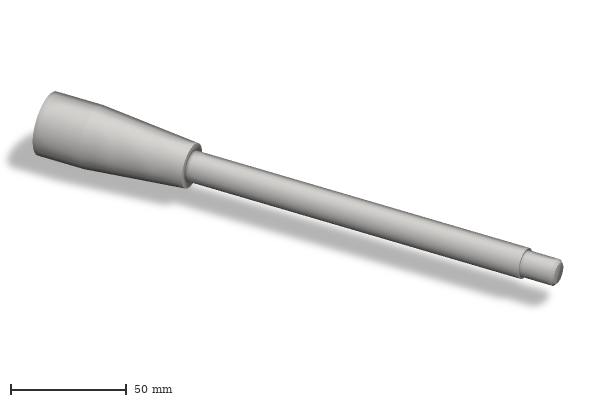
import cadquery as cq
import math

overall_length = 247.0
knob_length = 71.0
knob_straight_end = 23.7
stud_length = 16.0
stud_chamfer = 1.2

knob_diameter = 29.0
knob_neck_diameter = 20.5
rod_diameter = 14.0
stud_diameter = 12.0

dome_height = 1.5

knob_tip_x = -overall_length / 2
dome_rim_x = knob_tip_x + dome_height
taper_start_x = knob_tip_x + knob_straight_end
knob_neck_x = knob_tip_x + knob_length
stud_tip_x = overall_length / 2
stud_start_x = stud_tip_x - stud_length


def make_knob():
    """Tapered grip with a shallow spherical dome at its free end."""
    knob_radius = knob_diameter / 2
    sphere_radius = (knob_radius**2 + dome_height**2) / (2 * dome_height)
    sphere_drop = sphere_radius - math.sqrt(sphere_radius**2 - (knob_radius / 2) ** 2)
    dome_middle = (knob_tip_x + sphere_drop, knob_radius / 2)
    profile = (
        cq.Workplane("XZ")
        .moveTo(knob_tip_x, 0)
        .threePointArc(dome_middle, (dome_rim_x, knob_radius))
        .lineTo(taper_start_x, knob_radius)
        .lineTo(knob_neck_x, knob_neck_diameter / 2)
        .lineTo(knob_neck_x, 0)
        .close()
    )
    return profile.revolve(360, (0, 0, 0), (1, 0, 0))


def make_cylinder(start_x, end_x, diameter):
    """Solid round bar along X between two positions."""
    return cq.Workplane("YZ", origin=(start_x, 0, 0)).circle(diameter / 2).extrude(end_x - start_x)


def make_stud():
    """Reduced end of the rod with a chamfered tip."""
    stud = make_cylinder(stud_start_x, stud_tip_x, stud_diameter)
    return stud.faces(">X").chamfer(stud_chamfer)


rod = make_cylinder(knob_neck_x, stud_start_x, rod_diameter)
result = make_knob().union(rod).union(make_stud())